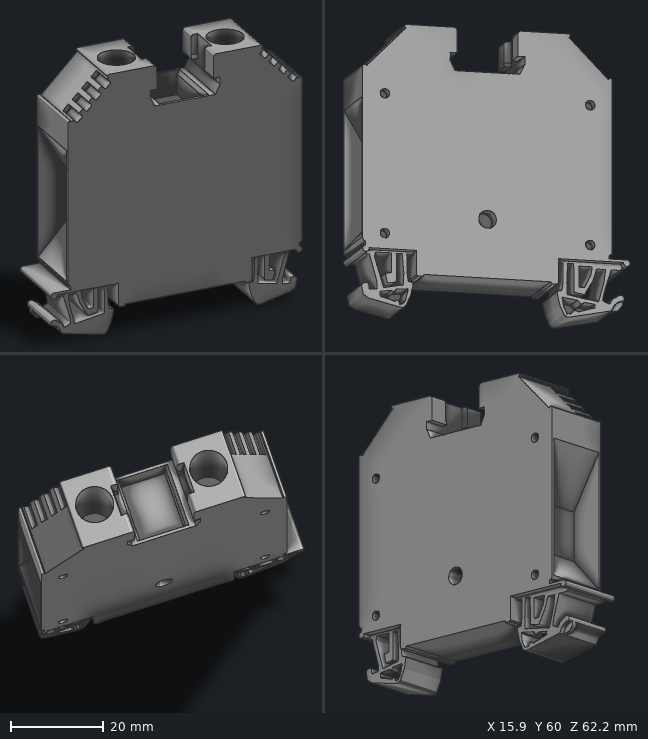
import cadquery as cq
import math


WIDTH = 15.9
HEIGHT = 62.25
HALF_LENGTH = 28.0
FLOOR_Z = 12.3
SHOULDER_Z = 52.65
SLOPE_FOOT_Y = 27.1
SLOPE_RISE = 8.45
LIP_OUT = 0.3
LIP_UP = 0.25
LIP_RADIUS = 0.45
CREASE_DEPTH = 0.7
CREASE_RADIUS = 0.95
CREASE_TOP_Z = 14.55

BLOCK_HALF = 15.95
BLOCK_Z = 7.1
PAD_DROP = 0.45
PAD_WIDTH = 1.45
PAD_CHAMFER = 0.3

NECK_HALF = 6.8
NECK_RADIUS = 0.8
LEDGE_Z = 56.6
UNDERCUT_HALF = 8.35
UNDERCUT_Z = 54.85
NOTCH_FLOOR_HALF = 7.2

RIM_TOP_Z = 12.95
RIM_RADIUS = 0.75
RIM_Y = HALF_LENGTH - RIM_RADIUS
FLANGE_TIP_Y = -32.0

WALL = 0.7
ENTRY_BOTTOM_Z = 14.75
ENTRY_TOP_Z = 45.75
ENTRY_INNER_BOTTOM_Z = 22.6
ENTRY_INNER_TOP_Z = 33.7
ENTRY_DEPTH = 7.2
WINDOW_HALF = 5.85
WINDOW_FLOOR_HALF = 5.2
WINDOW_SLOPE = 1.0
WINDOW_DEPTH = 5.8
SCREW_X = 8.5
SCREW_Y = 13.0
SCREW_DIAMETER = 8.2
SCREW_DEPTH = 18.7
KEY_X = WIDTH / 2
KEY_WIDTH = 7.05
KEY_NARROW = 6.05
KEY_TAPER_HEIGHT = 0.95

PIN_DIAMETER = 2.05
PIN_Y = 23.05
PIN_LOW_Z = 15.75
PIN_HIGH_Z = 46.7
PIN_DEPTH = 2.5
PIVOT_DIAMETER = 3.9
PIVOT_Z = 20.1
PIVOT_DEPTH = 3.75

GRIP_X = 10.45
GRIP_COUNT = 4
GRIP_FIRST_Z = 60.45
GRIP_PITCH_Z = 2.25
GRIP_WIDTH = 1.85
GRIP_DEPTH = 1.25
GRIP_ROUND = 0.25

CLIP_X = 2.0
CLIP_WIDTH = 11.9
CLIP_TOP_Z = 12.65
CLIP_ROOT_Y = 15.55
PLATE_Z = 11.9
CLIP_ROUND = 0.25
SOLE_POCKET_DEPTH = 5.9
TOE_ROUND = 0.75
TOE_HOLLOW_Z = 4.3
TOE_RIB_X = 3.1
TOE_RIB_WIDTH = 1.1


def prism(points, x_start, length):
    """Straight-sided (Y, Z) outline extruded along +X."""
    return cq.Workplane("YZ", origin=(x_start, 0, 0)).polyline(points).close().extrude(length)


def rod(y, z, diameter, length):
    """Cylinder along +X starting on the X = 0 side."""
    return cq.Workplane("YZ").center(y, z).circle(diameter / 2).extrude(length)


def both_sides(shape):
    """The shape together with its mirror image across Y = 0."""
    return shape.union(shape.mirror("XZ"))


def housing_half():
    slope_top_y = SLOPE_FOOT_Y - SLOPE_RISE
    slope_top_z = SHOULDER_Z + SLOPE_RISE
    lip_arc = LIP_RADIUS * (1 - math.sqrt(0.5))
    pad_z = BLOCK_Z - PAD_DROP
    pad_inner = BLOCK_HALF - PAD_WIDTH
    rim_neck_y = HALF_LENGTH - CREASE_DEPTH
    crease_drop = math.sqrt(CREASE_RADIUS**2 - (CREASE_RADIUS - CREASE_DEPTH) ** 2)
    shoulder_top_z = SHOULDER_Z + LIP_UP
    half = (
        cq.Workplane("YZ")
        .moveTo(0, BLOCK_Z)
        .lineTo(pad_inner - PAD_CHAMFER, BLOCK_Z)
        .lineTo(pad_inner, pad_z)
        .lineTo(BLOCK_HALF - PAD_CHAMFER, pad_z)
        .lineTo(BLOCK_HALF, pad_z + PAD_CHAMFER)
        .lineTo(BLOCK_HALF, FLOOR_Z)
        .lineTo(rim_neck_y, FLOOR_Z)
        .lineTo(rim_neck_y, CREASE_TOP_Z - crease_drop)
        .radiusArc((HALF_LENGTH, CREASE_TOP_Z), -CREASE_RADIUS)
        .lineTo(HALF_LENGTH, shoulder_top_z - LIP_RADIUS)
        .threePointArc(
            (HALF_LENGTH - lip_arc, shoulder_top_z - lip_arc),
            (HALF_LENGTH - LIP_RADIUS, shoulder_top_z),
        )
        .lineTo(SLOPE_FOOT_Y + LIP_UP, shoulder_top_z)
        .lineTo(SLOPE_FOOT_Y, SHOULDER_Z)
        .lineTo(slope_top_y, slope_top_z)
        .lineTo(slope_top_y - LIP_OUT, slope_top_z + LIP_OUT)
        .lineTo(slope_top_y, slope_top_z + 2 * LIP_OUT)
        .lineTo(slope_top_y, HEIGHT - LIP_RADIUS)
        .threePointArc((slope_top_y - lip_arc, HEIGHT - lip_arc), (slope_top_y - LIP_RADIUS, HEIGHT))
        .lineTo(NECK_HALF, HEIGHT)
        .lineTo(NECK_HALF, LEDGE_Z)
        .lineTo(UNDERCUT_HALF, LEDGE_Z)
        .lineTo(UNDERCUT_HALF, UNDERCUT_Z)
        .lineTo(NOTCH_FLOOR_HALF, SHOULDER_Z)
        .lineTo(0, SHOULDER_Z)
        .close()
        .extrude(WIDTH)
    )
    neck_edge = cq.selectors.NearestToPointSelector((WIDTH / 2, NECK_HALF, HEIGHT))
    return half.edges(neck_edge).fillet(NECK_RADIUS)


def base_rims():
    bead_z = RIM_TOP_Z - RIM_RADIUS
    tip_y = FLANGE_TIP_Y + RIM_RADIUS
    root_y = CREASE_DEPTH - HALF_LENGTH
    near_bead = rod(RIM_Y, bead_z, 2 * RIM_RADIUS, WIDTH)
    far_bead = rod(tip_y, bead_z, 2 * RIM_RADIUS, WIDTH)
    flange = prism(
        [(tip_y, FLOOR_Z), (root_y, FLOOR_Z), (root_y, RIM_TOP_Z), (tip_y, RIM_TOP_Z)], 0, WIDTH
    )
    return near_bead.union(far_bead).union(flange)


def wire_entry():
    """Funnel in the +Y end face, sloped above and below."""
    inner_y = HALF_LENGTH - ENTRY_DEPTH
    outline = [
        (HALF_LENGTH, ENTRY_BOTTOM_Z),
        (HALF_LENGTH, ENTRY_TOP_Z),
        (inner_y, ENTRY_INNER_TOP_Z),
        (inner_y, ENTRY_INNER_BOTTOM_Z),
    ]
    return prism(outline, WALL, WIDTH - 2 * WALL)


def notch_window():
    """Opening in the notch floor with a sloped rim on its two Y sides."""
    slope_z = SHOULDER_Z - WINDOW_SLOPE
    bottom_z = SHOULDER_Z - WINDOW_DEPTH
    outline = [
        (-WINDOW_HALF, SHOULDER_Z),
        (-WINDOW_FLOOR_HALF, slope_z),
        (-WINDOW_FLOOR_HALF, bottom_z),
        (WINDOW_FLOOR_HALF, bottom_z),
        (WINDOW_FLOOR_HALF, slope_z),
        (WINDOW_HALF, SHOULDER_Z),
    ]
    return prism(outline, WALL, WIDTH - 2 * WALL)


def screw_shaft():
    top = cq.Workplane("XY", origin=(SCREW_X, SCREW_Y, HEIGHT))
    return top.circle(SCREW_DIAMETER / 2).extrude(-SCREW_DEPTH)


def key_notch():
    """Screwdriver notch through the neck, narrowing just above the ledge."""
    taper_top_z = LEDGE_Z + KEY_TAPER_HEIGHT
    front = cq.Workplane("XZ", origin=(KEY_X, UNDERCUT_HALF, 0))
    return (
        front.moveTo(-KEY_NARROW / 2, LEDGE_Z)
        .lineTo(KEY_NARROW / 2, LEDGE_Z)
        .lineTo(KEY_WIDTH / 2, taper_top_z)
        .lineTo(KEY_WIDTH / 2, HEIGHT)
        .lineTo(-KEY_WIDTH / 2, HEIGHT)
        .lineTo(-KEY_WIDTH / 2, taper_top_z)
        .close()
        .extrude(UNDERCUT_HALF - NECK_HALF)
    )


def grip_grooves():
    """Grooves with rounded floor corners across the slope, open on the +X side."""
    length = WIDTH - GRIP_X
    groove = (
        cq.Workplane("XY")
        .box(length, GRIP_WIDTH, 2 * GRIP_DEPTH)
        .edges("|X and <Z")
        .fillet(GRIP_ROUND)
        .rotate((0, 0, 0), (1, 0, 0), -45)
    )
    grooves = cq.Workplane("XY")
    for index in range(GRIP_COUNT):
        z = GRIP_FIRST_Z - index * GRIP_PITCH_Z
        y = SLOPE_FOOT_Y + SHOULDER_Z - z
        grooves = grooves.add(groove.translate((GRIP_X + length / 2, y, z)))
    return grooves.combine()


def side_holes():
    holes = rod(0, PIVOT_Z, PIVOT_DIAMETER, PIVOT_DEPTH)
    for y in (-PIN_Y, PIN_Y):
        for z in (PIN_LOW_Z, PIN_HIGH_Z):
            holes = holes.union(rod(y, z, PIN_DIAMETER, PIN_DEPTH))
    return holes


def clip(outline, toe_side, openings, sole_pocket):
    """Rounded clip; toe_side selects the outermost edges, which get the larger radius."""
    body = prism(outline, CLIP_X, CLIP_WIDTH).edges(f"|X and (not {toe_side})").fillet(CLIP_ROUND)
    body = body.edges(f"|X and {toe_side}").fillet(TOE_ROUND)
    for opening in openings:
        body = body.cut(prism(opening, CLIP_X, CLIP_WIDTH).edges("|X").fillet(CLIP_ROUND))
    return body.cut(prism(sole_pocket, CLIP_X, SOLE_POCKET_DEPTH))


def fixed_clip():
    """Clip on the +Y side, with a hooked stop between its two legs."""
    outline = [
        (CLIP_ROOT_Y, CLIP_TOP_Z), (CLIP_ROOT_Y, PLATE_Z), (17.55, PLATE_Z),
        (17.5, 7.6), (17.25, 5.85), (16.1, 5.55), (16.25, 4.65), (16.6, 2.85), (17.7, 0.5),
        (18.25, 0.0), (19.05, 0.0),
        (26.15, 1.6), (27.3, 2.35), (27.9, 5.0), (26.15, 5.0), (26.0, 3.6), (24.2, 3.75),
        (24.2, 5.2), (25.95, 11.4), (26.95, 11.4), (26.95, CLIP_TOP_Z),
    ]
    opening = [
        (24.85, 10.95), (24.5, PLATE_Z), (21.05, PLATE_Z), (21.05, 7.6), (22.4, 7.3), (21.9, 5.15),
        (19.9, 5.55), (19.9, PLATE_Z), (18.6, PLATE_Z), (18.25, 7.6), (18.35, 5.0), (22.8, 4.1),
    ]
    sole_pocket = [
        (23.5, 3.2), (23.3, 3.3), (21.05, 3.6), (20.4, 3.2), (19.85, 3.9), (17.35, 4.2), (17.3, 3.8),
        (17.85, 1.55), (18.5, 0.75), (19.1, 0.7), (19.3, 1.25), (19.8, 1.55), (20.25, 1.25), (23.3, 2.1),
        (23.5, 2.5),
    ]
    return clip(outline, ">Y", [opening], sole_pocket)


def release_clip():
    """Clip on the -Y side, with a triangular stop and a hollowed release toe."""
    flange_y = -30.9
    toe_y = -31.2
    outline = [
        (-CLIP_ROOT_Y, CLIP_TOP_Z), (-CLIP_ROOT_Y, PLATE_Z), (-17.5, PLATE_Z),
        (-17.5, 7.6), (-17.25, 5.85), (-16.1, 5.55), (-16.25, 4.65), (-16.8, 2.35), (-17.7, 0.5),
        (-18.25, 0.0), (-19.05, 0.0),
        (-30.25, 2.3), (toe_y, 3.4), (toe_y, 6.1), (-28.6, 4.55), (-27.95, 3.35), (-26.4, 4.05),
        (-26.7, 5.7), (-28.25, 10.95), (-30.4, 10.95), (flange_y, 11.4), (flange_y, CLIP_TOP_Z),
    ]
    leg_opening = [
        (-18.5, PLATE_Z), (-19.85, PLATE_Z), (-20.0, 5.55), (-22.35, 5.1), (-24.15, 8.3),
        (-25.1, 10.95), (-27.0, 10.95), (-26.7, 8.3), (-25.45, 3.75), (-18.4, 4.9), (-18.3, 7.6),
    ]
    stop_opening = [
        (-21.05, 11.4), (-24.0, 11.4), (-23.7, 9.5), (-22.3, 6.7), (-21.05, 6.7),
    ]
    sole_pocket = [
        (-17.3, 4.1), (-17.5, 4.3), (-20.65, 3.8), (-21.6, 2.9), (-22.3, 3.4), (-24.65, 3.1),
        (-24.65, 2.35), (-21.0, 1.25), (-20.05, 1.55), (-19.25, 0.75), (-18.35, 0.7), (-17.6, 2.2),
    ]
    hollow_y = -28.4
    hollow = (
        cq.Workplane("YZ", origin=(CLIP_X, 0, 0))
        .moveTo(hollow_y, 1.85)
        .lineTo(-29.1, 3.1)
        .threePointArc((-29.8, 3.85), (toe_y, TOE_HOLLOW_Z))
        .lineTo(FLANGE_TIP_Y, TOE_HOLLOW_Z)
        .lineTo(FLANGE_TIP_Y, 0)
        .lineTo(hollow_y, 0)
        .close()
        .extrude(CLIP_WIDTH)
    )
    rib = cq.Workplane("XY").box(TOE_RIB_WIDTH, HEIGHT, HEIGHT, centered=(False, True, True))
    hollow = hollow.cut(rib.translate((TOE_RIB_X, toe_y, 0)))
    return clip(outline, "<Y", [leg_opening, stop_opening], sole_pocket).cut(hollow)


result = both_sides(housing_half()).union(base_rims())
for cutter in (wire_entry(), screw_shaft(), key_notch(), grip_grooves()):
    result = result.cut(cutter).cut(cutter.mirror("XZ"))
result = result.cut(notch_window()).cut(side_holes())
result = result.union(fixed_clip()).union(release_clip()).clean()